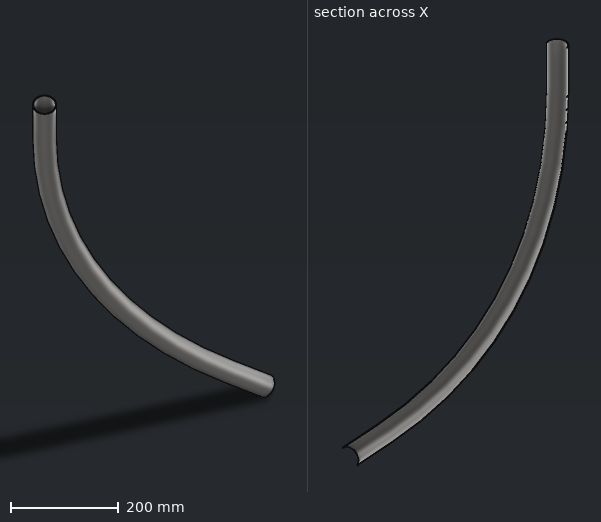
import cadquery as cq
import math

outer_diameter = 44.45
inner_diameter = 40.23
bend_radius = 1219.2
bend_angle = 45.0
straight_length = 101.6


def bend_point(angle_degrees):
    """Centreline (Y, Z) point of the bend, measured from its upper end at the origin."""
    angle = math.radians(angle_degrees)
    return (bend_radius * (1 - math.cos(angle)), -bend_radius * math.sin(angle))


def make_centreline():
    """Path in the YZ plane: down from the upper end, round the bend, out towards +Y."""
    end_y, end_z = bend_point(bend_angle)
    end_angle = math.radians(bend_angle)
    tip_y = end_y + straight_length * math.sin(end_angle)
    tip_z = end_z - straight_length * math.cos(end_angle)
    return (
        cq.Workplane("YZ")
        .moveTo(0, straight_length)
        .lineTo(0, 0)
        .threePointArc(bend_point(bend_angle / 2), (end_y, end_z))
        .lineTo(tip_y, tip_z)
    )


def make_tube(centreline):
    """Sweep the ring-shaped cross-section along the centreline."""
    return (
        cq.Workplane("XY", origin=(0, 0, straight_length))
        .circle(outer_diameter / 2)
        .circle(inner_diameter / 2)
        .sweep(centreline)
    )


result = make_tube(make_centreline())